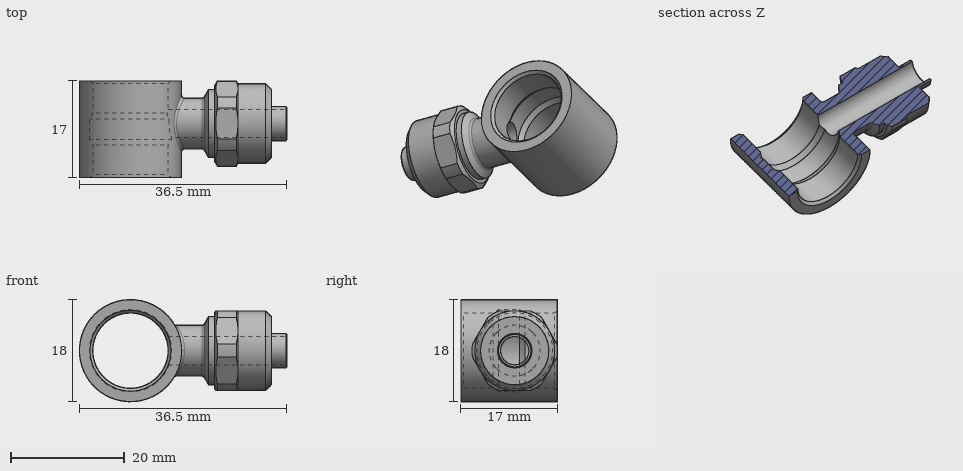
import cadquery as cq
import math

total_length = 36.5

ring_diameter = 18.0
ring_radius = ring_diameter / 2
ring_width = 17.0
bore_radius = 6.6
mouth_chamfer = 0.5
groove_floor_radius = 7.23
groove_width = 5.62
groove_flank_length = 1.0

stem_offset = 1.0
tip_end = total_length - ring_radius
neck_radius = 4.5
neck_end = 12.85
neck_root_fillet = 0.5
neck_collar_fillet = 0.5
collar_radius = 6.02
collar_start = 13.75
nut_start = 14.82
hex_end = 18.9
nut_flats = 14.0
nut_radius = nut_flats / 2
hex_corner_radius = 7.52
hex_chamfer_angle = math.radians(30)
hex_turn = 30
hex_front_radius = 6.68
nut_chamfer = 1.02
nut_end = 24.82
tip_radius = 3.03
tip_chamfer = 0.2
passage_radius = 2.5

select_margin = 0.2


def revolve_about_x(points):
    """Revolve a closed (x, radius) outline about the stem axis."""
    outline = cq.Workplane("XY", origin=(0, stem_offset, 0)).polyline(points).close()
    return outline.revolve(360, (0, 0, 0), (1, 0, 0))


def make_ring():
    return cq.Workplane("XZ").circle(ring_radius).extrude(ring_width / 2, both=True)


def make_bore():
    """Bore with chamfered mouths and a central tapered-sided groove."""
    mouth = ring_width / 2
    mouth_radius = bore_radius + mouth_chamfer
    groove_edge = groove_width / 2
    floor_edge = groove_edge - groove_flank_length
    outline = [
        (0, -mouth),
        (mouth_radius, -mouth),
        (bore_radius, -mouth + mouth_chamfer),
        (bore_radius, -groove_edge),
        (groove_floor_radius, -floor_edge),
        (groove_floor_radius, floor_edge),
        (bore_radius, groove_edge),
        (bore_radius, mouth - mouth_chamfer),
        (mouth_radius, mouth),
        (0, mouth),
    ]
    return cq.Workplane("XY").polyline(outline).close().revolve(360, (0, 0, 0), (0, 1, 0))


def make_stem():
    """Neck flaring out to the collar, with a fillet where the flare begins."""
    stem = revolve_about_x([
        (0, 0),
        (0, neck_radius),
        (neck_end, neck_radius),
        (collar_start, collar_radius),
        (nut_start, collar_radius),
        (nut_start, 0),
    ])
    flare_start = cq.selectors.BoxSelector(
        (neck_end - select_margin, -ring_radius, -ring_radius),
        (neck_end + select_margin, ring_radius, ring_radius),
        boundingbox=False,
    )
    return stem.edges(flare_start).fillet(neck_collar_fillet)


def make_hex():
    """Hexagon with flats facing +Z and -Z, its corners turned down and chamfered at both ends."""
    slope = math.tan(hex_chamfer_angle)
    hexagon = (
        cq.Workplane("YZ", origin=(nut_start, stem_offset, 0))
        .transformed(rotate=(0, 0, hex_turn))
        .polygon(6, nut_flats, circumscribed=True)
        .extrude(hex_end - nut_start)
    )
    envelope = revolve_about_x([
        (nut_start, 0),
        (nut_start, hex_front_radius),
        (nut_start + (hex_corner_radius - hex_front_radius) * slope, hex_corner_radius),
        (hex_end - (hex_corner_radius - nut_radius) * slope, hex_corner_radius),
        (hex_end, nut_radius),
        (hex_end, 0),
    ])
    return hexagon.intersect(envelope)


def make_nut_body_and_tip():
    return revolve_about_x([
        (hex_end, 0),
        (hex_end, nut_radius),
        (nut_end - nut_chamfer, nut_radius),
        (nut_end, nut_radius - nut_chamfer),
        (nut_end, tip_radius),
        (tip_end - tip_chamfer, tip_radius),
        (tip_end, tip_radius - tip_chamfer),
        (tip_end, 0),
    ])


def make_passage():
    """Flow passage from the bore out through the tip."""
    return cq.Workplane("YZ", origin=(0, stem_offset, 0)).circle(passage_radius).extrude(tip_end)


saddle_start = math.sqrt(ring_radius**2 - neck_radius**2)
saddle_reach = neck_radius + select_margin
saddle = cq.selectors.BoxSelector(
    (saddle_start - select_margin, stem_offset - saddle_reach, -saddle_reach),
    (ring_radius + select_margin, stem_offset + saddle_reach, saddle_reach),
    boundingbox=True,
)

body = make_ring().union(make_stem()).edges(saddle).fillet(neck_root_fillet)
body = body.union(make_hex()).union(make_nut_body_and_tip())
result = body.cut(make_bore()).cut(make_passage())